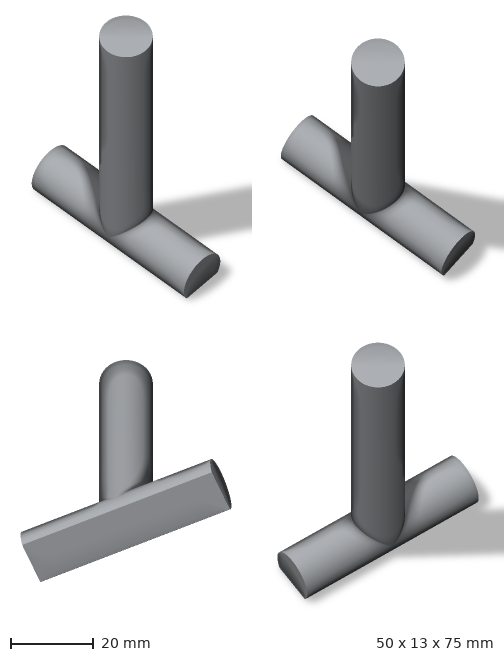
import cadquery as cq
import math

rod_diameter = 13.0
bar_length = 50.0
stem_length = 65.0
flat_width = 11.0

rod_radius = rod_diameter / 2
flat_depth = math.sqrt(rod_radius**2 - (flat_width / 2) ** 2)
stem_top = rod_radius + stem_length


def make_bar():
    """Round bar along X with a flat cut along its underside."""
    half_flat = flat_width / 2
    return (
        cq.Workplane("YZ")
        .moveTo(-half_flat, -flat_depth)
        .threePointArc((0, rod_radius), (half_flat, -flat_depth))
        .close()
        .extrude(bar_length / 2, both=True)
    )


def make_stem():
    """Round stem of the same diameter, rising from the bar axis at mid-length."""
    return cq.Workplane("XY").circle(rod_radius).extrude(stem_top)


result = make_bar().union(make_stem())